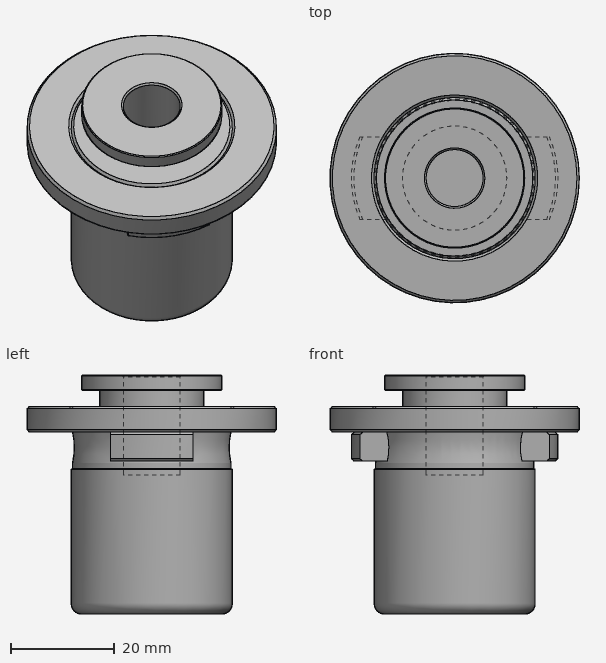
import cadquery as cq

total_height = 46.0
head_thickness = 3.0
neck_height = 3.0
flange_thickness = 5.0
waist_height = 5.95
collar_height = 1.0
lug_height = 5.55

flange_radius = 24
body_radius = 15.5
collar_radius = 15.25
waist_radius = 14.95
neck_radius = 10.05
head_radius = 13.5
bore_radius = 5.45
lug_radius = 19.85

lug_width = 15.85
bore_depth = 19.2

edge_chamfer = 0.5
head_chamfer = 0.2
bore_chamfer = 0.35
bottom_fillet = 2.0
groove_depth = 0.5

head_bottom = total_height - head_thickness
flange_top = head_bottom - neck_height
flange_bottom = flange_top - flange_thickness
waist_bottom = flange_bottom - waist_height
body_top = waist_bottom - collar_height
lug_bottom = flange_bottom - lug_height


def cylinder(radius, bottom, height):
    return cq.Workplane("XY").workplane(offset=bottom).circle(radius).extrude(height)


def make_body():
    body = cylinder(body_radius, 0, body_top)
    body = body.faces("<Z").edges().fillet(bottom_fillet)
    body = body.faces(">Z").edges().chamfer(body_radius - collar_radius)
    return body.union(cylinder(collar_radius, body_top, collar_height))


def make_waist():
    """Concave ring between the collar and the flange."""
    middle = (waist_bottom + flange_bottom) / 2
    return (
        cq.Workplane("XZ")
        .moveTo(0, waist_bottom)
        .lineTo(collar_radius, waist_bottom)
        .threePointArc((waist_radius, middle), (collar_radius, flange_bottom))
        .lineTo(0, flange_bottom)
        .close()
        .revolve(360, (0, 0), (0, 1))
    )


def make_flange():
    """Chamfered disc with a V-groove around the neck, centred on the body radius."""
    flange = cylinder(flange_radius, flange_bottom, flange_thickness).edges().chamfer(edge_chamfer)
    groove = (
        cq.Workplane("XZ")
        .moveTo(body_radius - groove_depth, flange_top)
        .lineTo(body_radius, flange_top - groove_depth)
        .lineTo(body_radius + groove_depth, flange_top)
        .close()
        .revolve(360, (0, 0), (0, 1))
    )
    return flange.cut(groove)


def make_lugs():
    """Two opposite lugs along X: a chamfered disc trimmed to a straight-sided bar."""
    disc = cylinder(lug_radius, lug_bottom, lug_height).edges().chamfer(edge_chamfer)
    bar = (
        cq.Workplane("XY")
        .workplane(offset=lug_bottom)
        .rect(2 * lug_radius, lug_width)
        .extrude(lug_height)
    )
    return disc.intersect(bar)


def make_head():
    neck = cylinder(neck_radius, flange_top, neck_height)
    head = cylinder(head_radius, head_bottom, head_thickness).edges().chamfer(head_chamfer)
    return neck.union(head)


def make_bore():
    """Blind bore with a countersunk mouth."""
    mouth_radius = bore_radius + bore_chamfer
    return (
        cq.Workplane("XZ")
        .moveTo(0, total_height)
        .lineTo(mouth_radius, total_height)
        .lineTo(bore_radius, total_height - bore_chamfer)
        .lineTo(bore_radius, total_height - bore_depth)
        .lineTo(0, total_height - bore_depth)
        .close()
        .revolve(360, (0, 0), (0, 1))
    )


result = make_body().union(make_waist()).union(make_flange()).union(make_lugs()).union(make_head())
result = result.cut(make_bore())